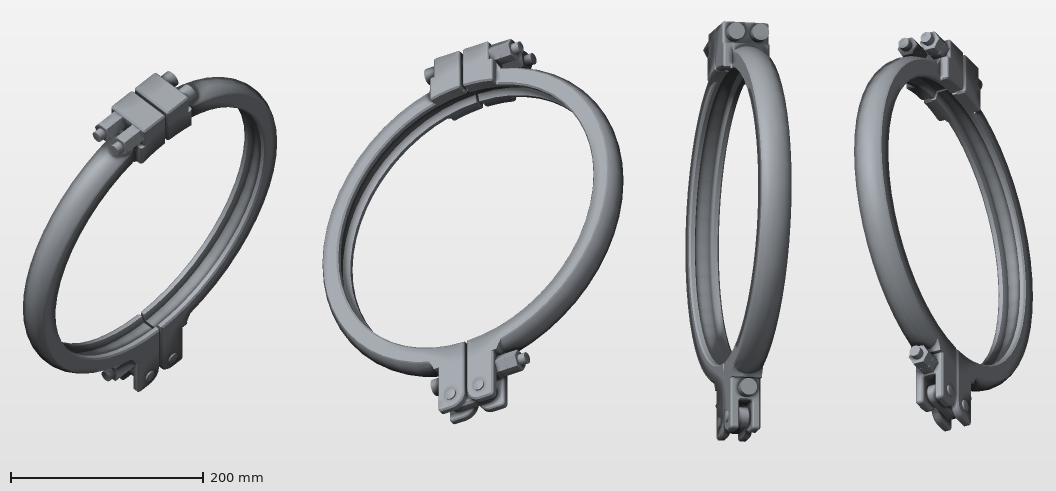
import cadquery as cq
import math

RING_WIDTH = 32.0
RING_OUTER_RADIUS = 358.0 / 2
CROWN_HEIGHT = 5.0
BORE_RADIUS = 155.0
RING_EDGE_CHAMFER = 1.5
BORE_EDGE_CHAMFER = 1.7
GROOVE_MOUTH_WIDTH = 20.0
GROOVE_FLOOR_WIDTH = 14.7
GROOVE_DEPTH = 8.0
SPLIT_GAP = 3.0

SHELF_HEIGHT = 177.0
LUG_SHELF_DEPTH = 178.0
EAR_REACH = 33.5
FOOT_REACH = 38.0
BLOCK_WIDTH = 50.0
OVERALL_HEIGHT = 433
BLOCK_TOP = 201.0
LUG_BOTTOM = BLOCK_TOP - OVERALL_HEIGHT
EDGE_ROUND = 2.5
EAR_CHAMFER = 1.7
ROOT_FILLET = 1.7
LUG_CORNER_RADIUS = 3.5
BLEND_REACH = 43.5
BLEND_SAG = 0.5

HINGE_HEIGHT = -216.5
HINGE_OFFSET = HINGE_HEIGHT - LUG_BOTTOM + SPLIT_GAP / 2
HINGE_PIN_RADIUS = 6.0
PIN_STICK_OUT = 1.7
PIN_DOME_HEIGHT = 1.0
LINK_RADIUS = 10.5
LINK_CHAMFER = 2.5
SLOT_WIDTH = 14.5
SLOT_CHAMFER = 1.5
SLOT_TOP = -201.0
SLOT_CORNER_RADIUS = 2.5

BOLT_DIAMETER = 12.0
HEAD_DIAMETER = 17.8
HEAD_HEIGHT = 13.0
NUT_FLATS = 20.0
NUT_HEIGHT = 12.0
NUT_COUNT = 2
BOLT_END = 66.0
TOP_BOLT_HEIGHT = 188.5
LUG_BOLT_HEIGHT = -189.5
TOP_BOLT_OFFSET = 13.0
BOLT_PLACES = [
    (-TOP_BOLT_OFFSET, TOP_BOLT_HEIGHT),
    (TOP_BOLT_OFFSET, TOP_BOLT_HEIGHT),
    (0, LUG_BOLT_HEIGHT),
]

SELECT_MARGIN = 0.5


def box_between(width, y_range, z_range):
    """Box centred on X that spans the given Y and Z ranges."""
    y_low, y_high = y_range
    z_low, z_high = z_range
    box = cq.Workplane("XY").box(
        width, y_high - y_low, z_high - z_low, centered=(True, False, False)
    )
    return box.translate((0, y_low, z_low))


def disc_on_x_axis(radius, width):
    """Solid cylinder on the X axis, centred on X = 0."""
    return cq.Workplane("YZ").circle(radius).extrude(width / 2, both=True)


def ring():
    """Complete hoop, revolved around the X axis."""
    side = RING_WIDTH / 2
    shoulder = RING_OUTER_RADIUS - CROWN_HEIGHT
    chamfer = RING_EDGE_CHAMFER
    bore_chamfer = BORE_EDGE_CHAMFER
    return (
        cq.Workplane("XY")
        .moveTo(-side + bore_chamfer, BORE_RADIUS)
        .lineTo(-side, BORE_RADIUS + bore_chamfer)
        .lineTo(-side, shoulder - chamfer)
        .lineTo(-side + chamfer, shoulder)
        .threePointArc((0, RING_OUTER_RADIUS), (side - chamfer, shoulder))
        .lineTo(side, shoulder - chamfer)
        .lineTo(side, BORE_RADIUS + bore_chamfer)
        .lineTo(side - bore_chamfer, BORE_RADIUS)
        .close()
        .revolve(360, (0, 0, 0), (1, 0, 0))
    )


def groove():
    """Trapezoidal ring to cut from the bore."""
    mouth = GROOVE_MOUTH_WIDTH / 2
    floor = GROOVE_FLOOR_WIDTH / 2
    floor_radius = BORE_RADIUS + GROOVE_DEPTH
    return (
        cq.Workplane("XY")
        .polyline([
            (-mouth, BORE_RADIUS),
            (-floor, floor_radius),
            (floor, floor_radius),
            (mouth, BORE_RADIUS),
        ])
        .close()
        .revolve(360, (0, 0, 0), (1, 0, 0))
    )


def foot_blend(direction, shelf):
    """Fill between the foot of an ear and the ring; direction is 1 on top, -1 below."""
    ring_height = math.sqrt((RING_OUTER_RADIUS - CROWN_HEIGHT) ** 2 - BLEND_REACH ** 2)
    middle_y = (FOOT_REACH + BLEND_REACH) / 2 - BLEND_SAG
    middle_z = (shelf + ring_height) / 2 - BLEND_SAG
    root_height = BORE_RADIUS + GROOVE_DEPTH
    return (
        cq.Workplane("YZ")
        .moveTo(SPLIT_GAP / 2, direction * root_height)
        .lineTo(SPLIT_GAP / 2, direction * shelf)
        .lineTo(FOOT_REACH, direction * shelf)
        .threePointArc((middle_y, direction * middle_z), (BLEND_REACH, direction * ring_height))
        .lineTo(BLEND_REACH, direction * root_height)
        .close()
        .extrude(RING_WIDTH / 2, both=True)
    )


def top_block():
    """Wide ear that carries the two upper bolts, seated over the ring."""
    inner = SPLIT_GAP / 2
    seat = box_between(BLOCK_WIDTH, (inner, FOOT_REACH), (0, SHELF_HEIGHT))
    ear = box_between(BLOCK_WIDTH, (inner, EAR_REACH), (0, BLOCK_TOP))
    block = ear.union(seat).cut(disc_on_x_axis(BORE_RADIUS, 2 * BLOCK_WIDTH))
    block = block.edges("|Z").fillet(EDGE_ROUND)
    block = block.faces("<Z").edges().chamfer(BORE_EDGE_CHAMFER)
    return block.faces(">Z").edges().chamfer(EAR_CHAMFER)


def hinge_lug():
    """Lower ear with a slot for the hinge link."""
    inner = SPLIT_GAP / 2
    lug = box_between(RING_WIDTH, (inner, EAR_REACH), (LUG_BOTTOM, -BORE_RADIUS - GROOVE_DEPTH))
    lug = lug.edges("|X and <Y and <Z").fillet(HINGE_HEIGHT - LUG_BOTTOM)
    lug = lug.edges("|X and >Y and <Z").fillet(LUG_CORNER_RADIUS)
    lug = lug.faces(">Y").edges("|Z").chamfer(EAR_CHAMFER)
    slot = box_between(SLOT_WIDTH, (0, FOOT_REACH), (LUG_BOTTOM, SLOT_TOP))
    slot = slot.edges("|Y and >Z").fillet(SLOT_CORNER_RADIUS)
    lug = lug.cut(slot)
    slot_rim = cq.selectors.BoxSelector(
        (-SLOT_WIDTH, EAR_REACH - SELECT_MARGIN, LUG_BOTTOM + LUG_CORNER_RADIUS),
        (SLOT_WIDTH, EAR_REACH + SELECT_MARGIN, SLOT_TOP + SELECT_MARGIN),
    )
    return lug.edges(slot_rim).chamfer(SLOT_CHAMFER)


def root_fillets():
    """Upright concave fillets where the ring leaves the top block."""
    corner_x = RING_WIDTH / 2
    profile = (
        cq.Workplane("XY")
        .moveTo(corner_x, FOOT_REACH)
        .lineTo(corner_x + ROOT_FILLET, FOOT_REACH)
        .radiusArc((corner_x, FOOT_REACH + ROOT_FILLET), ROOT_FILLET)
        .close()
    )
    shoulder = RING_OUTER_RADIUS - CROWN_HEIGHT - RING_EDGE_CHAMFER
    fillet_top = math.sqrt(shoulder ** 2 - (FOOT_REACH + ROOT_FILLET) ** 2)
    fillet = profile.extrude(fillet_top).cut(disc_on_x_axis(BORE_RADIUS, 2 * BLOCK_WIDTH))
    return fillet.union(fillet.mirror("YZ"))


def split_chamfers():
    """Wedges to cut from the split edges between the bore and the lug, in line with its chamfer."""
    inner = SPLIT_GAP / 2
    side = RING_WIDTH / 2
    wedge = (
        cq.Workplane("XY", origin=(0, 0, HINGE_HEIGHT))
        .polyline([(side, inner), (side - EAR_CHAMFER, inner), (side, inner + EAR_CHAMFER)])
        .close()
        .extrude(-HINGE_HEIGHT - BORE_RADIUS + BORE_EDGE_CHAMFER)
    )
    return wedge.union(wedge.mirror("YZ"))


def half_clamp():
    """Half of the clamp on the +Y side."""
    half_space = box_between(
        2 * BLOCK_WIDTH,
        (SPLIT_GAP / 2, 2 * RING_OUTER_RADIUS),
        (-2 * RING_OUTER_RADIUS, 2 * RING_OUTER_RADIUS),
    )
    half = ring().intersect(half_space)
    additions = (
        foot_blend(1, SHELF_HEIGHT),
        foot_blend(-1, LUG_SHELF_DEPTH),
        top_block(),
        root_fillets(),
        hinge_lug(),
    )
    for addition in additions:
        half = half.union(addition)
    return half.cut(groove()).cut(split_chamfers())


def hinge_link():
    """Bar with round ends that joins the two lugs."""
    return (
        cq.Workplane("YZ")
        .center(0, HINGE_HEIGHT)
        .slot2D(2 * (HINGE_OFFSET + LINK_RADIUS), 2 * LINK_RADIUS)
        .extrude(SLOT_WIDTH / 2, both=True)
        .faces("<X or >X")
        .chamfer(LINK_CHAMFER)
    )


def hinge_pin(y):
    """Pin through a lug and the link, domed at both ends."""
    side = RING_WIDTH / 2 + PIN_STICK_OUT
    tip = side + PIN_DOME_HEIGHT
    dome_radius = (HINGE_PIN_RADIUS ** 2 + PIN_DOME_HEIGHT ** 2) / (2 * PIN_DOME_HEIGHT)
    dome_centre = tip - dome_radius
    half_angle = math.asin(HINGE_PIN_RADIUS / dome_radius) / 2
    dome_x = dome_centre + dome_radius * math.cos(half_angle)
    dome_y = dome_radius * math.sin(half_angle)
    pin = (
        cq.Workplane("XY")
        .moveTo(-tip, 0)
        .threePointArc((-dome_x, dome_y), (-side, HINGE_PIN_RADIUS))
        .lineTo(side, HINGE_PIN_RADIUS)
        .threePointArc((dome_x, dome_y), (tip, 0))
        .close()
        .revolve(360, (0, 0, 0), (1, 0, 0))
    )
    return pin.translate((0, y, HINGE_HEIGHT))


def cylinder_along_y(diameter, y_low, y_high):
    """Cylinder on the Y axis between two places."""
    return cq.Workplane("XZ").circle(diameter / 2).extrude(y_low - y_high).translate((0, y_low, 0))


def nut(y_seat):
    """Hexagon nut reaching toward -Y from its seat, with its outer corners chamfered."""
    corner_diameter = NUT_FLATS / math.cos(math.pi / 6)
    hexagon = cq.Workplane("XZ").polygon(6, corner_diameter).extrude(NUT_HEIGHT)
    trim = (
        cq.Workplane("XZ")
        .circle(corner_diameter / 2)
        .extrude(NUT_HEIGHT)
        .faces("<Y")
        .chamfer((corner_diameter - NUT_FLATS) / 4, (corner_diameter - NUT_FLATS) / 2)
    )
    return hexagon.intersect(trim).translate((0, y_seat, 0))


def bolt(x, z):
    """Bolt with its head on the +Y ear and its nuts on the -Y ear, as one body."""
    body = cylinder_along_y(BOLT_DIAMETER, -BOLT_END, EAR_REACH)
    body = body.union(cylinder_along_y(HEAD_DIAMETER, EAR_REACH, EAR_REACH + HEAD_HEIGHT))
    for index in range(NUT_COUNT):
        body = body.union(nut(-EAR_REACH - index * NUT_HEIGHT))
    return body.translate((x, 0, z))


def clamp():
    """Both halves joined by the hinge, with clearance holes for the bolts."""
    half = half_clamp()
    body = half.union(half.mirror("XZ")).union(hinge_link())
    for y in (-HINGE_OFFSET, HINGE_OFFSET):
        body = body.union(hinge_pin(y))
    for x, z in BOLT_PLACES:
        hole = cylinder_along_y(BOLT_DIAMETER, -EAR_REACH, EAR_REACH)
        body = body.cut(hole.translate((x, 0, z)))
    return body


hinged_clamp = clamp()
bolts = [bolt(x, z) for x, z in BOLT_PLACES]

result = cq.Compound.makeCompound([hinged_clamp.val(), *[item.val() for item in bolts]])